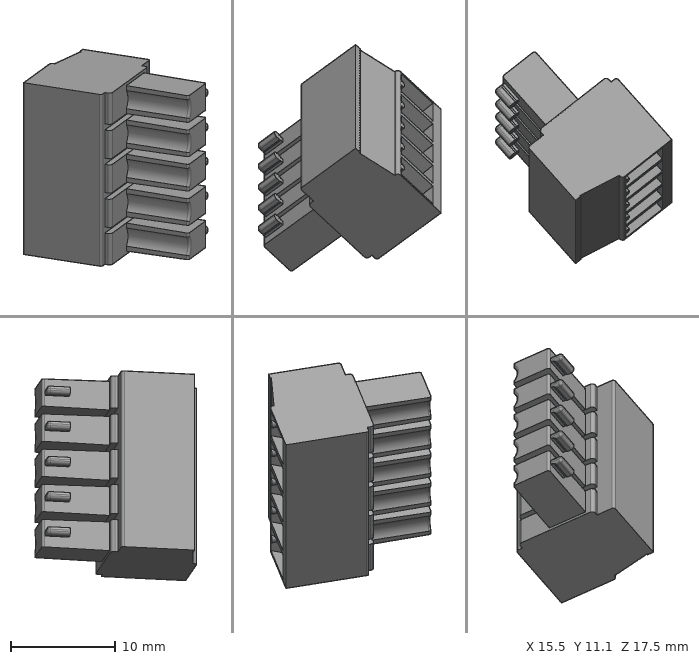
import cadquery as cq
import math

POLE_COUNT = 5
POLE_PITCH = 3.5
LENGTH_Z = POLE_COUNT * POLE_PITCH

DEPTH_Y = 11.1
BODY_BACK_X = 8.26
BODY_EDGE_RADIUS = 0.26
LIP_X = 1.14
LIP_Y = 10.43
SLOPE_TOP_X = 1.25
SLOPE_FOOT_X = 0.42
STEP_Y = 6.23
STEP_RADIUS = 0.33

NOSE_BACK_X = 8.92
NOSE_Y_MIN = 0.7
NOSE_Y_MAX = 9.17
NOSE_EDGE_RADIUS = 0.35

PIN_TIP_X = 15.5
PIN_Y_MIN = 4.2
PIN_Y_MAX = 8.26
PIN_ROOT_HEIGHT = 2.87
PIN_TIP_HEIGHT = 2.71
TIP_RADIUS = 0.25
GROOVE_RADIUS = 1.4
GROOVE_WIDTH = 1.85

RAIL_START_X = 12.97
RAIL_END_X = 15.2
RAIL_OUTER_Y = 9.48
RAIL_HEAD_Y = 8.75
RAIL_NECK_Y = 8.54
RAIL_HEAD_HALF = 0.4
RAIL_NECK_HALF = 0.28
RAIL_CREST_RADIUS = 0.32
RAIL_END_RADIUS = 0.3

FUNNEL_Y_MIN = 1.19
FUNNEL_Y_MAX = 5.75
FUNNEL_MOUTH_HEIGHT = 2.98
FUNNEL_FLOOR_HEIGHT = 1.85
FUNNEL_DEPTH = 2.48
RAMP_DEPTH = 1.87
WELL_Y_MIN = 1.36
WELL_Y_MAX = 4.02
WELL_HEIGHT = 1.8
WELL_DEPTH = 0.18
WELL_CORNER_RADIUS = 0.15
STUD_RADIUS = 0.4
STUD_Y = 5.69

pole_centers = [(i - (POLE_COUNT - 1) / 2) * POLE_PITCH for i in range(POLE_COUNT)]


def along_z(sketch, height):
    """Extrude an XY outline symmetrically about Z = 0."""
    return sketch.extrude(height / 2, both=True)


def make_body():
    arc_offset = STEP_RADIUS * (1 - math.sqrt(0.5))
    outline = (
        cq.Workplane("XY")
        .moveTo(0, 0)
        .lineTo(BODY_BACK_X, 0)
        .lineTo(BODY_BACK_X, DEPTH_Y)
        .lineTo(LIP_X, DEPTH_Y)
        .lineTo(LIP_X, LIP_Y)
        .lineTo(SLOPE_TOP_X, LIP_Y)
        .lineTo(SLOPE_FOOT_X, STEP_Y)
        .lineTo(STEP_RADIUS, STEP_Y)
        .threePointArc((arc_offset, STEP_Y - arc_offset), (0, STEP_Y - STEP_RADIUS))
        .close()
    )
    return along_z(outline, LENGTH_Z).edges("|Z and >X").fillet(BODY_EDGE_RADIUS)


def make_nose():
    center_y = (NOSE_Y_MIN + NOSE_Y_MAX) / 2
    start_x = BODY_BACK_X - BODY_EDGE_RADIUS
    outline = (
        cq.Workplane("XY")
        .center((start_x + NOSE_BACK_X) / 2, center_y)
        .rect(NOSE_BACK_X - start_x, NOSE_Y_MAX - NOSE_Y_MIN)
    )
    nose = along_z(outline, LENGTH_Z).edges("|Z and >X").fillet(NOSE_EDGE_RADIUS)
    gap_length = NOSE_BACK_X - BODY_BACK_X
    for lower_pole in pole_centers[:-1]:
        gap = cq.Workplane("XY").box(gap_length, DEPTH_Y, POLE_PITCH - PIN_ROOT_HEIGHT)
        gap_center = (BODY_BACK_X + gap_length / 2, DEPTH_Y / 2, lower_pole + POLE_PITCH / 2)
        nose = nose.cut(gap.translate(gap_center))
    return nose


def make_pin():
    """One pin centred on Z = 0: tapered toward the tip, with a round channel along its -Y face."""
    length = PIN_TIP_X - BODY_BACK_X
    blank = cq.Workplane("XY").box(length, PIN_Y_MAX - PIN_Y_MIN, PIN_ROOT_HEIGHT)
    blank = blank.translate((BODY_BACK_X + length / 2, (PIN_Y_MIN + PIN_Y_MAX) / 2, 0))
    blank = blank.edges("|Z and >X").fillet(TIP_RADIUS)
    taper_outline = [
        (BODY_BACK_X, -PIN_ROOT_HEIGHT / 2),
        (PIN_TIP_X, -PIN_TIP_HEIGHT / 2),
        (PIN_TIP_X, PIN_TIP_HEIGHT / 2),
        (BODY_BACK_X, PIN_ROOT_HEIGHT / 2),
    ]
    taper = cq.Workplane("XZ").polyline(taper_outline).close().extrude(-DEPTH_Y)
    pin = blank.intersect(taper)

    groove_axis_y = PIN_Y_MIN - math.sqrt(GROOVE_RADIUS**2 - (GROOVE_WIDTH / 2) ** 2)
    flare_x = PIN_TIP_X - TIP_RADIUS
    flare_bulge = TIP_RADIUS * math.sqrt(0.5)
    groove_profile = (
        cq.Workplane("XY")
        .moveTo(NOSE_BACK_X, 0)
        .lineTo(NOSE_BACK_X, GROOVE_RADIUS)
        .lineTo(flare_x, GROOVE_RADIUS)
        .threePointArc(
            (flare_x + flare_bulge, GROOVE_RADIUS + TIP_RADIUS - flare_bulge),
            (PIN_TIP_X, GROOVE_RADIUS + TIP_RADIUS),
        )
        .lineTo(PIN_TIP_X, 0)
        .close()
    )
    groove = groove_profile.revolve(360, (0, 0, 0), (1, 0, 0))
    return pin.cut(groove.translate((0, groove_axis_y, 0)))


def make_rail():
    """One coding rail centred on Z = 0: a rounded head on a narrower neck."""
    upper_half = [
        (PIN_Y_MAX, RAIL_NECK_HALF),
        (RAIL_NECK_Y, RAIL_NECK_HALF),
        (RAIL_HEAD_Y, RAIL_HEAD_HALF),
        (RAIL_OUTER_Y, RAIL_HEAD_HALF),
    ]
    lower_half = [(y, -z) for y, z in reversed(upper_half)]
    rail = (
        cq.Workplane("YZ", origin=(RAIL_START_X, 0, 0))
        .polyline(upper_half + lower_half)
        .close()
        .extrude(RAIL_END_X - RAIL_START_X)
    )
    rail = rail.edges("|X and >Y").fillet(RAIL_CREST_RADIUS)
    return rail.faces(">Y").edges(">X").fillet(RAIL_END_RADIUS)


def rectangle_at(x, y_min, y_max, height):
    plane = cq.Workplane("YZ", origin=(x, (y_min + y_max) / 2, 0))
    return plane.rect(y_max - y_min, height)


def make_funnel():
    """Cutter for one wire entry centred on Z = 0, with a stud left standing on its ramp."""
    funnel = (
        rectangle_at(0, FUNNEL_Y_MIN, FUNNEL_Y_MAX, FUNNEL_MOUTH_HEIGHT)
        .workplane(offset=FUNNEL_DEPTH)
        .center((WELL_Y_MIN - FUNNEL_Y_MIN) / 2, 0)
        .rect(FUNNEL_Y_MAX - WELL_Y_MIN, FUNNEL_FLOOR_HEIGHT)
        .loft(ruled=True)
    )
    ramp_outline = [
        (0, 0),
        (0, FUNNEL_Y_MAX),
        (RAMP_DEPTH, WELL_Y_MAX),
        (FUNNEL_DEPTH, WELL_Y_MAX),
        (FUNNEL_DEPTH, 0),
    ]
    funnel = funnel.intersect(along_z(cq.Workplane("XY").polyline(ramp_outline).close(), POLE_PITCH))
    well = rectangle_at(FUNNEL_DEPTH, WELL_Y_MIN, WELL_Y_MAX, WELL_HEIGHT).extrude(WELL_DEPTH)
    well = well.edges("|X and <Y").fillet(WELL_CORNER_RADIUS)
    stud = cq.Workplane("YZ", origin=(0, STUD_Y, 0)).circle(STUD_RADIUS).extrude(RAMP_DEPTH)
    return funnel.union(well).cut(stud)


pin = make_pin()
rail = make_rail()
funnel = make_funnel()

result = make_body().union(make_nose())
for z in pole_centers:
    result = result.union(pin.translate((0, 0, z)))
    result = result.union(rail.translate((0, 0, z)))
    result = result.cut(funnel.translate((0, 0, z)))